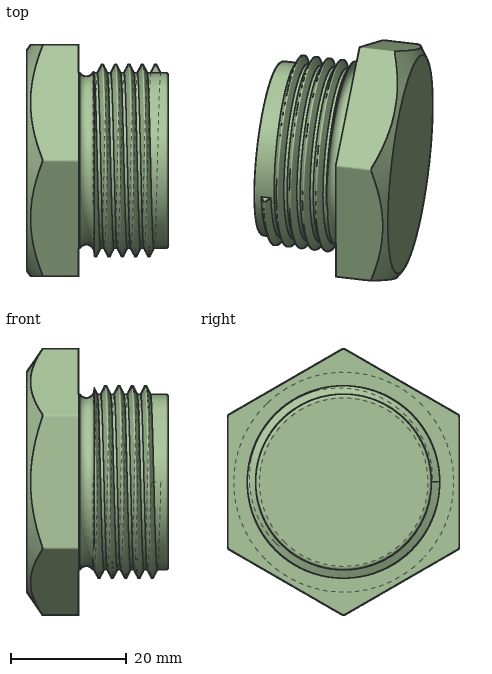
import cadquery as cq
import math

head_length = 8.98
across_flats = 40.0
edge_radius = 0.5
face_radius = 19.0
chamfer_slope = 0.69

total_length = 24.5
shank_radius = 15.2
end_fillet = 0.5

groove_radius = 1.35
groove_floor_radius = 14.55

pitch = 2.3
turns = 5
thread_end = 22.3
crest_radius = 16.6
crest_rounding_height = 0.2
flank_angle = math.radians(27.5)
crest_half_width = 0.205
thread_embed = 0.25
axis_end = (1, 0, 0)


def revolve_about_x(outline):
    """Revolve a closed XY outline (X axial, Y radial) around the X axis."""
    return outline.revolve(360, (0, 0, 0), axis_end)


def make_head():
    corner_radius = across_flats / 2 / math.cos(math.pi / 6)
    hexagon = (
        cq.Workplane("YZ")
        .polygon(6, 2 * corner_radius)
        .extrude(head_length)
        .rotate((0, 0, 0), axis_end, 90)
        .edges("|X")
        .fillet(edge_radius)
    )
    cone_depth = (corner_radius - face_radius) * chamfer_slope
    envelope = revolve_about_x(
        cq.Workplane("XY").polyline([
            (0, 0),
            (0, face_radius),
            (cone_depth, corner_radius),
            (head_length, corner_radius),
            (head_length, 0),
        ]).close()
    )
    return hexagon.intersect(envelope)


def make_shank():
    return (
        cq.Workplane("YZ")
        .workplane(offset=head_length)
        .circle(shank_radius)
        .extrude(total_length - head_length)
        .faces(">X")
        .edges()
        .fillet(end_fillet)
    )


def make_thread():
    """Helical ridge that begins and ends on the +Y side."""
    base_radius = shank_radius - thread_embed
    shoulder_radius = crest_radius - crest_rounding_height
    flank_run = (shoulder_radius - base_radius) * math.tan(flank_angle)
    base_half_width = crest_half_width + flank_run
    profile = (
        cq.Workplane("XZ")
        .moveTo(base_radius, -base_half_width)
        .lineTo(shoulder_radius, -crest_half_width)
        .threePointArc((crest_radius, 0), (shoulder_radius, crest_half_width))
        .lineTo(base_radius, base_half_width)
        .close()
    )
    thread_length = turns * pitch
    helix = cq.Wire.makeHelix(pitch, thread_length, base_radius)
    ridge = profile.sweep(cq.Workplane(obj=helix), isFrenet=True)
    placement = cq.Plane((thread_end - thread_length, 0, 0), (0, 1, 0), axis_end)
    return cq.Workplane(obj=ridge.val().moved(cq.Location(placement)))


def make_groove_cutter():
    center_radius = groove_floor_radius + groove_radius
    center_x = head_length + groove_radius
    outer_radius = crest_radius + groove_radius
    return revolve_about_x(
        cq.Workplane("XY")
        .moveTo(head_length, outer_radius)
        .lineTo(head_length, center_radius)
        .threePointArc(
            (center_x, groove_floor_radius),
            (center_x + groove_radius, center_radius),
        )
        .lineTo(center_x + groove_radius, outer_radius)
        .close()
    )


threaded_shank = make_shank().union(make_thread()).cut(make_groove_cutter())
result = make_head().union(threaded_shank)